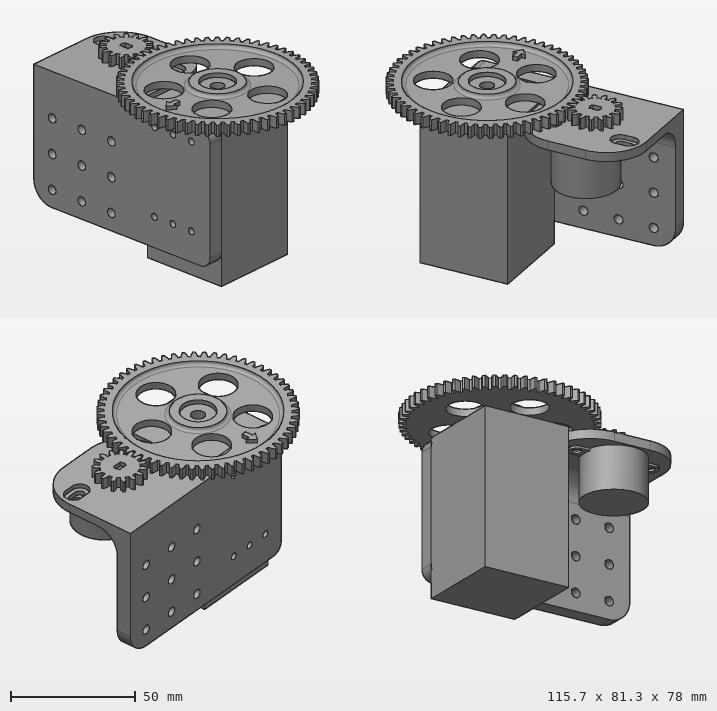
import cadquery as cq
import math

OVERALL_LENGTH = 115.7

WHEEL_TEETH = 60
PINION_TEETH = 15
WHEEL_TIP_DIAMETER = 81.3
MODULE = WHEEL_TIP_DIAMETER / (WHEEL_TEETH + 2)
ROOT_DEPTH_RATIO = 1.25
ROOT_DEPTH = ROOT_DEPTH_RATIO * MODULE
PRESSURE_ANGLE = math.radians(20)
BACKLASH = 0.07
FLANK_STEPS = 4
GEAR_THICKNESS = 5.0
GEAR_GAP = 2.0
GEAR_TOP = GEAR_GAP + GEAR_THICKNESS

BLOCK_SIDE = 39.9
BLOCK_HEIGHT = 70.0
BLOCK_TOP = -1.0
OUTPUT_DIAMETER = 15.0
OUTPUT_BORE = 6.0
OUTPUT_SETBACK = 2.0

WALL_THICKNESS = 6.9
WALL_HEIGHT = 60.8
WALL_SMALL_RADIUS = 5.0
WALL_LARGE_RADIUS = 10.0
FLANGE_LENGTH = 53.2
FLANGE_DEPTH = 49.9
FLANGE_THICKNESS = 4.0
FLANGE_RADIUS = 18.0
BEND_RADIUS = 10.0

WHEEL_X = OVERALL_LENGTH - WHEEL_TIP_DIAMETER / 2
WHEEL_Y = WALL_THICKNESS + BLOCK_SIDE / 2
PINION_X = WHEEL_X - MODULE * (WHEEL_TEETH + PINION_TEETH) / 2
WALL_LENGTH = WHEEL_X + BLOCK_SIDE / 2

MOUNT_DIAMETER = 4.0
MOUNT_PITCH = 16.0
MOUNT_COUNT = 3
MOUNT_FIRST_X = 10.0
MOUNT_FIRST_Z = 8.0 - WALL_HEIGHT
SCREW_DIAMETER = 3.0
SCREW_PITCH = 10.0
SCREW_ROW_TOP = -7.0
SCREW_ROW_SPACING = 40.0

MOTOR_DIAMETER = 28.0
MOTOR_HEIGHT = 19.3
SHAFT_OFFSET = 8.0
MOTOR_Y = WHEEL_Y + SHAFT_OFFSET
SHAFT_DIAMETER = 5.0
SHAFT_FLATS = 3.1
SHAFT_TOP = 5.0
EAR_SPACING = 35.0
EAR_WIDTH = 6.9
EAR_THICKNESS = 1.0
EAR_HOLE = 4.0

SLOT_LENGTH = 8.0
SLOT_WIDTH = 4.3
SLOT_RECESS_LENGTH = 12.0
SLOT_RECESS_WIDTH = 8.0
SLOT_RECESS_DEPTH = 2.0

WEB_RECESS_DEPTH = 1.7
RIM_INNER_DIAMETER = 69.0
HUB_DIAMETER = 23.1
WHEEL_BORE = 15.2
WINDOW_COUNT = 5
WINDOW_DIAMETER = 16.0
WINDOW_CIRCLE_RADIUS = 22.0
ARROW_TAIL = -23.8
ARROW_NECK = -27.4
ARROW_TIP = -31.0
ARROW_SHAFT_WIDTH = 2.2
ARROW_HEAD_WIDTH = 5.7


def polar(radius, angle):
    return (radius * math.cos(angle), radius * math.sin(angle))


def involute(angle):
    return math.tan(angle) - angle


def gear_blank(teeth, first_tooth_angle):
    """Involute spur gear on the origin, with its bottom face on Z = 0."""
    pitch_radius = MODULE * teeth / 2
    tip_radius = pitch_radius + MODULE
    root_radius = pitch_radius - ROOT_DEPTH
    base_radius = pitch_radius * math.cos(PRESSURE_ANGLE)
    flank_start = max(base_radius, root_radius)
    half_at_pitch = math.pi / (2 * teeth) - BACKLASH / (2 * pitch_radius)

    def half_angle(radius):
        return half_at_pitch + involute(PRESSURE_ANGLE) - involute(math.acos(base_radius / radius))

    radii = [
        flank_start + (tip_radius - flank_start) * step / FLANK_STEPS
        for step in range(FLANK_STEPS + 1)
    ]
    foot = half_angle(flank_start)
    tooth_pitch = 2 * math.pi / teeth

    outline = cq.Workplane("XY").moveTo(*polar(root_radius, first_tooth_angle - foot))
    for tooth in range(teeth):
        middle = first_tooth_angle + tooth * tooth_pitch
        if flank_start > root_radius:
            outline = outline.lineTo(*polar(flank_start, middle - foot))
        rising = [polar(r, middle - half_angle(r)) for r in radii]
        falling = [polar(r, middle + half_angle(r)) for r in reversed(radii)]
        outline = outline.spline(rising[1:], includeCurrent=True)
        outline = outline.threePointArc(polar(tip_radius, middle), falling[0])
        outline = outline.spline(falling[1:], includeCurrent=True)
        if flank_start > root_radius:
            outline = outline.lineTo(*polar(root_radius, middle + foot))
        next_middle = middle + tooth_pitch
        outline = outline.threePointArc(
            polar(root_radius, middle + tooth_pitch / 2),
            polar(root_radius, next_middle - foot),
        )
    return outline.close().extrude(GEAR_THICKNESS)


def shaft_bar(length):
    """Round bar with two flats facing -Y and +Y, standing on Z = 0."""
    bar = cq.Workplane("XY").circle(SHAFT_DIAMETER / 2).extrude(length)
    flats = cq.Workplane("XY").rect(SHAFT_DIAMETER, SHAFT_FLATS).extrude(length)
    return bar.intersect(flats)


def make_bracket():
    wall = cq.Workplane("XY").box(WALL_LENGTH, WALL_THICKNESS, WALL_HEIGHT, centered=False)
    wall = wall.translate((0, 0, -WALL_HEIGHT))
    wall = wall.edges("|Y and >X").fillet(WALL_SMALL_RADIUS)
    wall = wall.edges("|Y and <X and <Z").fillet(WALL_LARGE_RADIUS)

    flange = cq.Workplane("XY").box(FLANGE_LENGTH, FLANGE_DEPTH, FLANGE_THICKNESS, centered=False)
    flange = flange.translate((0, 0, -FLANGE_THICKNESS))
    flange = flange.edges("|Z and >Y").fillet(FLANGE_RADIUS)

    bend_end_y = WALL_THICKNESS + BEND_RADIUS
    bend_end_z = -FLANGE_THICKNESS - BEND_RADIUS
    bend_rise = BEND_RADIUS * (1 - math.sqrt(0.5))
    bend = (
        cq.Workplane("YZ")
        .moveTo(WALL_THICKNESS, -FLANGE_THICKNESS)
        .lineTo(bend_end_y, -FLANGE_THICKNESS)
        .threePointArc(
            (WALL_THICKNESS + bend_rise, -FLANGE_THICKNESS - bend_rise),
            (WALL_THICKNESS, bend_end_z),
        )
        .close()
        .extrude(FLANGE_LENGTH)
    )
    bracket = wall.union(flange).union(bend)

    mount_points = [
        (MOUNT_FIRST_X + column * MOUNT_PITCH, MOUNT_FIRST_Z + row * MOUNT_PITCH)
        for column in range(MOUNT_COUNT)
        for row in range(MOUNT_COUNT)
    ]
    screw_points = [
        (WHEEL_X + side * SCREW_PITCH, SCREW_ROW_TOP - drop)
        for side in (-1, 0, 1)
        for drop in (0, SCREW_ROW_SPACING)
    ]
    for points, diameter in ((mount_points, MOUNT_DIAMETER), (screw_points, SCREW_DIAMETER)):
        drill = cq.Workplane("XZ").pushPoints(points).circle(diameter / 2).extrude(-WALL_THICKNESS)
        bracket = bracket.cut(drill)

    slot_points = [(PINION_X + side * EAR_SPACING / 2, MOTOR_Y) for side in (-1, 1)]
    flange_top = cq.Workplane("XY").pushPoints(slot_points)
    slots = flange_top.slot2D(SLOT_LENGTH, SLOT_WIDTH).extrude(-FLANGE_THICKNESS)
    recesses = flange_top.slot2D(SLOT_RECESS_LENGTH, SLOT_RECESS_WIDTH).extrude(-SLOT_RECESS_DEPTH)
    shaft_hole = (
        cq.Workplane("XY")
        .center(PINION_X, WHEEL_Y)
        .circle(SHAFT_DIAMETER / 2)
        .extrude(-FLANGE_THICKNESS)
    )
    return bracket.cut(slots).cut(recesses).cut(shaft_hole)


def make_motor():
    motor_top = cq.Workplane("XY", origin=(PINION_X, MOTOR_Y, -FLANGE_THICKNESS))
    can = motor_top.circle(MOTOR_DIAMETER / 2).extrude(-MOTOR_HEIGHT)
    ears = motor_top.slot2D(EAR_SPACING + EAR_WIDTH, EAR_WIDTH).extrude(-EAR_THICKNESS)
    ear_points = [(side * EAR_SPACING / 2, 0) for side in (-1, 1)]
    ear_holes = motor_top.pushPoints(ear_points).circle(EAR_HOLE / 2).extrude(-EAR_THICKNESS)
    shaft = shaft_bar(SHAFT_TOP + FLANGE_THICKNESS)
    shaft = shaft.translate((PINION_X, WHEEL_Y, -FLANGE_THICKNESS))
    return can.union(ears).cut(ear_holes).union(shaft)


def make_pinion():
    pinion = gear_blank(PINION_TEETH, math.pi).cut(shaft_bar(GEAR_THICKNESS))
    return pinion.translate((PINION_X, WHEEL_Y, GEAR_GAP))


def make_wheel():
    wheel = gear_blank(WHEEL_TEETH, 0)

    rim = RIM_INNER_DIAMETER / 2
    hub = HUB_DIAMETER / 2
    web_top = GEAR_THICKNESS - WEB_RECESS_DEPTH
    round_inset = WEB_RECESS_DEPTH * (1 - math.sqrt(0.5))
    web_recess = (
        cq.Workplane("XZ")
        .moveTo(hub, GEAR_THICKNESS)
        .threePointArc((hub + round_inset, web_top + round_inset), (hub + WEB_RECESS_DEPTH, web_top))
        .lineTo(rim - WEB_RECESS_DEPTH, web_top)
        .threePointArc((rim - round_inset, web_top + round_inset), (rim, GEAR_THICKNESS))
        .close()
        .revolve(360, (0, 0, 0), (0, 1, 0))
    )
    wheel = wheel.cut(web_recess)

    windows = (
        cq.Workplane("XY")
        .polarArray(WINDOW_CIRCLE_RADIUS, 90, 360, WINDOW_COUNT)
        .circle(WINDOW_DIAMETER / 2)
        .extrude(GEAR_THICKNESS)
    )
    bore = cq.Workplane("XY").circle(WHEEL_BORE / 2).extrude(GEAR_THICKNESS)
    wheel = wheel.cut(windows).cut(bore)

    half_shaft = ARROW_SHAFT_WIDTH / 2
    half_head = ARROW_HEAD_WIDTH / 2
    arrow = (
        cq.Workplane("XY", origin=(0, 0, GEAR_THICKNESS))
        .polyline([
            (-half_shaft, ARROW_TAIL),
            (-half_shaft, ARROW_NECK),
            (-half_head, ARROW_NECK),
            (0, ARROW_TIP),
            (half_head, ARROW_NECK),
            (half_shaft, ARROW_NECK),
            (half_shaft, ARROW_TAIL),
        ])
        .close()
        .extrude(-WEB_RECESS_DEPTH)
    )
    return wheel.union(arrow).translate((WHEEL_X, WHEEL_Y, GEAR_GAP))


def make_gearbox():
    block_top = cq.Workplane("XY", origin=(WHEEL_X, WHEEL_Y, BLOCK_TOP))
    block = block_top.rect(BLOCK_SIDE, BLOCK_SIDE).extrude(-BLOCK_HEIGHT)
    shaft_length = GEAR_TOP - OUTPUT_SETBACK - BLOCK_TOP
    shaft = block_top.circle(OUTPUT_DIAMETER / 2).extrude(shaft_length)
    bore = block_top.circle(OUTPUT_BORE / 2).extrude(shaft_length)
    return block.union(shaft).cut(bore)


bracket = make_bracket()
motor = make_motor()
pinion = make_pinion()
wheel = make_wheel()
gearbox = make_gearbox()

result = cq.Compound.makeCompound([
    bracket.solids().val(),
    motor.solids().val(),
    pinion.solids().val(),
    wheel.solids().val(),
    gearbox.solids().val(),
])